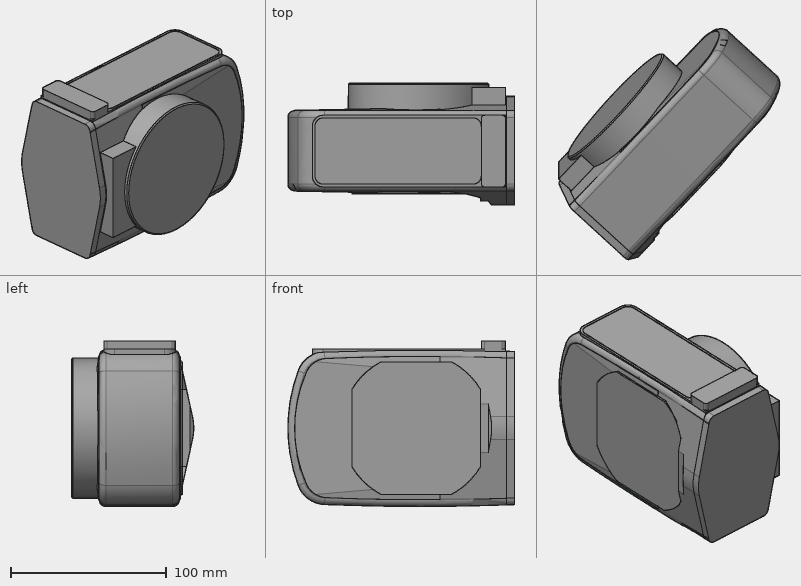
import cadquery as cq

LENGTH = 145.5
COVER_THICKNESS = 5.1
HOUSING_END = LENGTH - COVER_THICKNESS

MID_HALF_HEIGHT = 50.3
END_HALF_HEIGHT = 49.2
BOW_X = 11.8
BOW_HALF_HEIGHT = 48.6
CORNER_RADIUS = 18.9
MID_X = (BOW_X + LENGTH) / 2

HALF_DEPTH = 25.8
EDGE_RADIUS = 4.4
SHELL_CENTRE_Y = 0.22

ROOF_APEX = 35.8
ROOF_SLOPE = 0.22
RIDGE_HALF_WIDTH = 7.3
RIDGE_HEIGHT = ROOF_APEX - ROOF_SLOPE * RIDGE_HALF_WIDTH / 2
ROOF_START = 65.5
CROWN_HALF_HEIGHT = MID_HALF_HEIGHT - EDGE_RADIUS
FEATURE_ROOT = 21.8

FIELD_END = 97.5
FIELD_START_DEPTH = 25.9
FIELD_END_DEPTH = 27.8
FACET_SLOPE = 0.156
FACET_START_RIM = 25.6
FACET_END_RIM = 26.2

PAD_X = 82.4
PAD_RADIUS = 48.2
PAD_HALF_WIDTH = 41.3
PAD_HALF_HEIGHT = 42.5
PAD_DEPTH = 27.5
THUMB_FLOOR = 32.2
THUMB_FLOOR_END = 128.6
THUMB_LIP_END = 131.0

LENS_X = 83.8
LENS_RADIUS = 45.1
LENS_DEPTH = 43.6
LENS_CHAMFER = 0.9
REAR_BLOCK_START = 117.1
REAR_BLOCK_DEPTH = 40.9
REAR_BLOCK_HALF_HEIGHT = 29.1

PANEL_START = 15.7
SHOE_START = 124.1
SHOE_END = 139.7
PANEL_HALF_DEPTH = 23.0
PANEL_TOP = 50.8
PANEL_RADIUS = 7.0
PANEL_RIM = 1.7
PANEL_RECESS = 0.3
PANEL_ROOT = 43.6
SHOE_TOP = 56.0
SHOE_RADIUS = 2.2

CLEARANCE = 43.6


def block(x0, x1, y0, y1, z0, z1):
    """Axis-aligned block between two opposite corners."""
    return cq.Workplane("XY").box(x1 - x0, y1 - y0, z1 - z0, centered=False).translate((x0, y0, z0))


def prism_along_y(sketch, y0, y1):
    """Extrude an XZ outline from y0 to y1."""
    return sketch.extrude(-(y1 - y0)).translate((0, y0, 0))


def side_prism(inset, half_depth):
    """Bowed end, rounded corners and slightly bulging long sides, drawn in by the inset."""
    mid = MID_HALF_HEIGHT - inset
    end = END_HALF_HEIGHT - inset
    corner = BOW_HALF_HEIGHT - inset
    outline = (
        cq.Workplane("XZ")
        .moveTo(LENGTH, -end)
        .lineTo(LENGTH, end)
        .threePointArc((MID_X, mid), (BOW_X + inset, corner))
        .threePointArc((inset, 0), (BOW_X + inset, -corner))
        .threePointArc((MID_X, -mid), (LENGTH, -end))
        .close()
    )
    prism = prism_along_y(outline, -half_depth, half_depth)
    return prism.edges("|Y").edges("<X").fillet(CORNER_RADIUS - inset)


def slab():
    """Body core with a rounded rim on both broad faces."""
    return side_prism(0, HALF_DEPTH).faces("<Y or >Y").edges("not(>X)").fillet(EDGE_RADIUS)


def roof():
    """Two sloping planes joined by a rounded ridge on each broad face."""
    rim = ROOF_APEX - ROOF_SLOPE * CROWN_HALF_HEIGHT
    shoulder = ROOF_APEX - ROOF_SLOPE * RIDGE_HALF_WIDTH
    return (
        cq.Workplane("YZ", origin=(ROOF_START, 0, 0))
        .moveTo(-rim, -CROWN_HALF_HEIGHT)
        .lineTo(-shoulder, -RIDGE_HALF_WIDTH)
        .threePointArc((-RIDGE_HEIGHT, 0), (-shoulder, RIDGE_HALF_WIDTH))
        .lineTo(-rim, CROWN_HALF_HEIGHT)
        .lineTo(rim, CROWN_HALF_HEIGHT)
        .lineTo(shoulder, RIDGE_HALF_WIDTH)
        .threePointArc((RIDGE_HEIGHT, 0), (shoulder, -RIDGE_HALF_WIDTH))
        .lineTo(rim, -CROWN_HALF_HEIGHT)
        .close()
        .extrude(LENGTH - ROOF_START)
    )


def field_points(depth, rim):
    """Octagonal cross-section: flat broad faces with shallow facets near the long sides."""
    flat = CROWN_HALF_HEIGHT - (depth - rim) / FACET_SLOPE
    quarter = [(rim, CROWN_HALF_HEIGHT), (depth, flat)]
    right = quarter + [(y, -z) for y, z in reversed(quarter)]
    return right + [(-y, -z) for y, z in right]


def tapered_field():
    """Field that deepens from the bowed end towards the roof."""
    return (
        cq.Workplane("YZ")
        .polyline(field_points(FIELD_START_DEPTH, FACET_START_RIM)).close()
        .workplane(offset=FIELD_END)
        .polyline(field_points(FIELD_END_DEPTH, FACET_END_RIM)).close()
        .loft(ruled=True)
    )


def crowns():
    """Roof and field, held inside the rounded rim of the slab."""
    limit = side_prism(EDGE_RADIUS, CLEARANCE)
    return roof().union(tapered_field()).intersect(limit)


def pad(y0, y1):
    """Disc truncated by four flats."""
    disc = prism_along_y(cq.Workplane("XZ").center(PAD_X, 0).circle(PAD_RADIUS), y0, y1)
    flats = block(PAD_X - PAD_HALF_WIDTH, PAD_X + PAD_HALF_WIDTH, y0, y1, -PAD_HALF_HEIGHT, PAD_HALF_HEIGHT)
    return disc.intersect(flats)


def thumb_notch():
    """Flat-floored notch across the front ridge with a sloping end wall."""
    start = PAD_X
    return (
        cq.Workplane("XY")
        .polyline([
            (start, -THUMB_FLOOR),
            (THUMB_FLOOR_END, -THUMB_FLOOR),
            (THUMB_LIP_END, -RIDGE_HEIGHT),
            (THUMB_LIP_END, -CLEARANCE),
            (start, -CLEARANCE),
        ])
        .close()
        .extrude(CLEARANCE, both=True)
    )


def lens():
    barrel = prism_along_y(cq.Workplane("XZ").center(LENS_X, 0).circle(LENS_RADIUS), FEATURE_ROOT, LENS_DEPTH)
    return barrel.faces(">Y").chamfer(LENS_CHAMFER)


def rear_block():
    return block(REAR_BLOCK_START, SHOE_END, FEATURE_ROOT, REAR_BLOCK_DEPTH,
                 -REAR_BLOCK_HALF_HEIGHT, REAR_BLOCK_HALF_HEIGHT)


def top_panel():
    """Raised panel with a shallow recess inside its rim."""
    panel = block(PANEL_START, SHOE_END, -PANEL_HALF_DEPTH, PANEL_HALF_DEPTH, PANEL_ROOT, PANEL_TOP)
    panel = panel.edges("|Z and <X").fillet(PANEL_RADIUS)
    inner_depth = PANEL_HALF_DEPTH - PANEL_RIM
    recess = block(PANEL_START + PANEL_RIM, SHOE_START, -inner_depth, inner_depth,
                   PANEL_TOP - PANEL_RECESS, SHOE_TOP)
    return panel.cut(recess.edges("|Z").fillet(PANEL_RADIUS - PANEL_RIM))


def shoe():
    bar = block(SHOE_START, SHOE_END, -PANEL_HALF_DEPTH, PANEL_HALF_DEPTH, PANEL_ROOT, SHOE_TOP)
    return bar.edges("|Z").fillet(SHOE_RADIUS)


shell = slab().union(crowns()).translate((0, SHELL_CENTRE_Y, 0))


def make_housing():
    body = shell.intersect(block(0, HOUSING_END, -CLEARANCE, CLEARANCE, -LENGTH, LENGTH))
    body = body.cut(pad(-CLEARANCE, -PAD_DEPTH)).cut(thumb_notch())
    for feature in (pad(-PAD_DEPTH, -FEATURE_ROOT), lens(), rear_block(), top_panel(), shoe()):
        body = body.union(feature)
    return body


def make_end_cover():
    return shell.intersect(block(HOUSING_END, LENGTH, -CLEARANCE, CLEARANCE, -LENGTH, LENGTH))


housing = make_housing()
end_cover = make_end_cover()
result = cq.Compound.makeCompound([housing.val(), end_cover.val()])